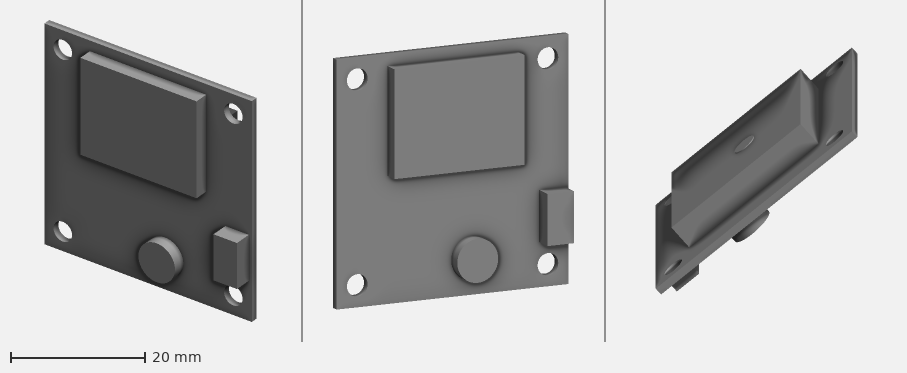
import cadquery as cq

BOARD_WIDTH = 38.35
BOARD_HEIGHT = 38.27
BOARD_THICKNESS = 1.23
HOLE_SPACING = 31.52
HOLE_DIAMETER = 3.4

MODULE_WIDTH = 21.48
MODULE_HEIGHT = 16.8
MODULE_DEPTH = 2.4
MODULE_Z = 8.9

CONNECTOR_WIDTH = 4.35
CONNECTOR_HEIGHT = 7.98
CONNECTOR_DEPTH = 3.0
CONNECTOR_X = 16.45
CONNECTOR_Z = -8.2

BUTTON_DIAMETER = 6.75
BUTTON_DEPTH = 2.1
BUTTON_X = 3.15
BUTTON_Z = -13.5

HOUSING_SIDE = 25.25
HOUSING_DEPTH = 4.1
DISC_DIAMETER = 3.72
DISC_DEPTH = 0.15
DISC_X = -1.7
DISC_Z = -1.6

BACK_FACE_Y = BOARD_THICKNESS
HOUSING_FACE_Y = BACK_FACE_Y + HOUSING_DEPTH


def face_plane(y, x=0, z=0):
    """Sketch plane at depth y, centred on (x, z); positive extrusion goes toward -Y."""
    return cq.Workplane("XZ", origin=(x, y, z))


def make_board():
    """Square plate with a mounting hole in each corner."""
    plate = face_plane(0).rect(BOARD_WIDTH, BOARD_HEIGHT).extrude(-BOARD_THICKNESS)
    holes = (
        face_plane(0)
        .rect(HOLE_SPACING, HOLE_SPACING, forConstruction=True)
        .vertices()
        .circle(HOLE_DIAMETER / 2)
        .extrude(-BOARD_THICKNESS)
    )
    return plate.cut(holes)


module = face_plane(0, z=MODULE_Z).rect(MODULE_WIDTH, MODULE_HEIGHT).extrude(MODULE_DEPTH)
connector = (
    face_plane(0, CONNECTOR_X, CONNECTOR_Z)
    .rect(CONNECTOR_WIDTH, CONNECTOR_HEIGHT)
    .extrude(CONNECTOR_DEPTH)
)
button = face_plane(0, BUTTON_X, BUTTON_Z).circle(BUTTON_DIAMETER / 2).extrude(BUTTON_DEPTH)
housing = face_plane(BACK_FACE_Y).rect(HOUSING_SIDE, HOUSING_SIDE).extrude(-HOUSING_DEPTH)
disc = face_plane(HOUSING_FACE_Y, DISC_X, DISC_Z).circle(DISC_DIAMETER / 2).extrude(-DISC_DEPTH)

result = make_board()
for component in (module, connector, button, housing, disc):
    result = result.union(component)